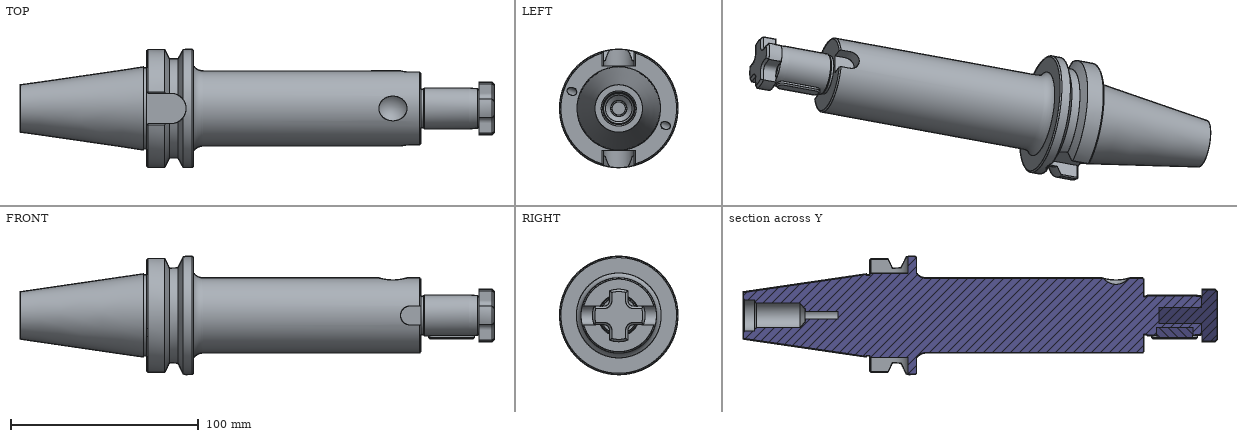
import cadquery as cq
import math

taper_length = 65.5
taper_ratio = 7 / 24
gauge_radius = 22.2
small_end_radius = gauge_radius - taper_length * taper_ratio / 2
relief_radius = 21.7
flange_front = 67.5
flange_radius = 31.5
flange_chamfer = 0.8
front_rim_end = 77.0
groove_radius = 26.5
groove_start = 79.5
groove_end = 84.0
rear_rim_start = 86.8
flange_rear = 92.5

keyway_width = 16.2
keyway_floor = 22.5
keyway_end = 88.3
keyway_chamfer = 0.8

coolant_circle_radius = 26.5
coolant_angle = 20
coolant_hole_radius = 2.0
coolant_hole_depth = 7.5
coolant_slant = 40

shank_radius = 20.07
shank_end = 213.3
shank_chamfer = 0.8
root_length = 5.0
root_height = 2.5
root_radius = (root_length**2 + root_height**2) / (2 * root_height)

dimple_x = 198.5
dimple_radius = 9.0
dimple_centre_height = 25.2
slot_width = 10.0
slot_start = 202.5
slot_floor = 12.4

spigot_radius = 11.0
undercut_radius = 10.3
undercut_end = 214.5
spigot_start = 215.3
lead_start = 239.0
lead_radius = 10.5
spigot_end = 244.0
spigot_end_chamfer = 0.8

mouth_radius = 9.3
pilot_radius = 8.5
pilot_depth = 6.0
thread_radius = 7.0
thread_depth = 30.3
channel_mouth_radius = 4.3
channel_radius = 3.5
channel_depth = 50.5
bore_cone_length = thread_radius - channel_mouth_radius
thread_chamfer = 1.0

key_width = 6.0
key_height = 6.0
key_start = 217.3
key_end = 241.8
key_chamfer = 0.8
key_outer = 12.5

overall_length = 252.5
head_radius = 14.0
arm_width = 9.8
arm_fillet = 3.0
head_chamfer = 1.3
screw_radius = 5.0
screw_length = 22.7


def revolve_about_x(profile):
    return profile.close().revolve(360, (0, 0, 0), (1, 0, 0))


def turned_body():
    root_end = flange_rear + root_length
    half_angle = math.asin(root_length / root_radius) / 2
    root_middle = (
        root_end - root_radius * math.sin(half_angle),
        shank_radius + root_radius * (1 - math.cos(half_angle)),
    )
    profile = (
        cq.Workplane("XZ")
        .lineTo(0, small_end_radius)
        .lineTo(taper_length, gauge_radius)
        .lineTo(taper_length, relief_radius)
        .lineTo(flange_front, relief_radius)
        .lineTo(flange_front, flange_radius - flange_chamfer)
        .lineTo(flange_front + flange_chamfer, flange_radius)
        .lineTo(front_rim_end, flange_radius)
        .lineTo(groove_start, groove_radius)
        .lineTo(groove_end, groove_radius)
        .lineTo(rear_rim_start, flange_radius)
        .lineTo(flange_rear - flange_chamfer, flange_radius)
        .lineTo(flange_rear, flange_radius - flange_chamfer)
        .lineTo(flange_rear, shank_radius + root_height)
        .threePointArc(root_middle, (root_end, shank_radius))
        .lineTo(shank_end - shank_chamfer, shank_radius)
        .lineTo(shank_end, shank_radius - shank_chamfer)
        .lineTo(shank_end, undercut_radius)
        .lineTo(undercut_end, undercut_radius)
        .lineTo(spigot_start, spigot_radius)
        .lineTo(lead_start, spigot_radius)
        .lineTo(spigot_end - spigot_end_chamfer, lead_radius)
        .lineTo(spigot_end, lead_radius - spigot_end_chamfer)
        .lineTo(spigot_end, 0)
    )
    return revolve_about_x(profile)


def bore():
    mouth_chamfer = mouth_radius - pilot_radius
    profile = (
        cq.Workplane("XZ")
        .lineTo(0, mouth_radius)
        .lineTo(mouth_chamfer, pilot_radius)
        .lineTo(pilot_depth, pilot_radius)
        .lineTo(pilot_depth, thread_radius + thread_chamfer)
        .lineTo(pilot_depth + thread_chamfer, thread_radius)
        .lineTo(thread_depth, thread_radius)
        .lineTo(thread_depth + bore_cone_length, channel_mouth_radius)
        .lineTo(thread_depth + bore_cone_length, channel_radius)
        .lineTo(channel_depth, channel_radius)
        .lineTo(channel_depth, 0)
    )
    return revolve_about_x(profile)


def flange_keyway():
    """Round-ended keyway on the +Z side, with its walls chamfered at the front face and the front rim."""
    half_width = keyway_width / 2
    mouth_half_width = half_width + keyway_chamfer
    mouth_end = flange_front + keyway_chamfer
    round_centre = keyway_end - half_width
    keyway = (
        cq.Workplane("XY", origin=(0, 0, keyway_floor))
        .moveTo(flange_front, -mouth_half_width)
        .lineTo(mouth_end, -half_width)
        .lineTo(round_centre, -half_width)
        .threePointArc((keyway_end, 0), (round_centre, half_width))
        .lineTo(mouth_end, half_width)
        .lineTo(flange_front, mouth_half_width)
        .close()
        .extrude(flange_radius)
    )
    return keyway.union(keyway_rim_flare())


def keyway_rim_flare():
    """Flare that chamfers the long edges of the keyway where it opens through the front rim."""
    half_width = keyway_width / 2
    flare_bottom = math.sqrt(flange_radius**2 - half_width**2) - keyway_chamfer
    flare_height = flange_radius - flare_bottom
    top_half_width = half_width + flare_height
    return (
        cq.Workplane("YZ", origin=(flange_front, 0, 0))
        .moveTo(-half_width, flare_bottom)
        .lineTo(half_width, flare_bottom)
        .lineTo(top_half_width, flange_radius)
        .lineTo(-top_half_width, flange_radius)
        .close()
        .extrude(groove_start - flange_front)
    )


def coolant_hole():
    """Blind hole that slants from the flange face towards the axis."""
    return (
        cq.Workplane("YZ")
        .circle(coolant_hole_radius)
        .extrude(coolant_hole_depth, both=True)
        .rotate((0, 0, 0), (0, 0, 1), -coolant_slant)
        .translate((flange_front, coolant_circle_radius, 0))
        .rotate((0, 0, 0), (1, 0, 0), coolant_angle)
    )


def cross_slot():
    """Round-ended slot on the +Y side, open at the end of the shank."""
    slot_radius = slot_width / 2
    round_centre = slot_start + slot_radius
    return (
        cq.Workplane("XZ", origin=(0, slot_floor, 0))
        .moveTo(shank_end, -slot_radius)
        .lineTo(round_centre, -slot_radius)
        .threePointArc((slot_start, 0), (round_centre, slot_radius))
        .lineTo(shank_end, slot_radius)
        .close()
        .extrude(-shank_radius)
    )


def dimple():
    return cq.Workplane("XY").sphere(dimple_radius).translate((dimple_x, 0, dimple_centre_height))


def make_key():
    length = key_end - key_start
    return (
        cq.Workplane("XY")
        .slot2D(length, key_width)
        .extrude(key_height)
        .faces("<Z")
        .chamfer(key_chamfer)
        .translate((key_start + length / 2, 0, -key_outer))
    )


def screw_stem():
    stem_start = spigot_end - screw_length
    return cq.Workplane("YZ", origin=(stem_start, 0, 0)).circle(screw_radius).extrude(screw_length)


def make_screw():
    head_length = overall_length - spigot_end
    plane = cq.Workplane("YZ", origin=(spigot_end, 0, 0))
    cross = (
        plane.rect(arm_width, 3 * head_radius).extrude(head_length)
        .union(plane.rect(3 * head_radius, arm_width).extrude(head_length))
        .edges("|X")
        .edges(cq.selectors.BoxSelector(
            (spigot_end, -arm_width, -arm_width), (overall_length, arm_width, arm_width)))
        .fillet(arm_fillet)
    )
    head = cross.intersect(plane.circle(head_radius).extrude(head_length))
    head = head.faces(">X").chamfer(head_chamfer)
    return head.union(screw_stem())


def make_arbor():
    body = turned_body().cut(bore()).cut(dimple())
    for half_turn in (0, 180):
        for feature in (flange_keyway(), coolant_hole(), cross_slot()):
            body = body.cut(feature.rotate((0, 0, 0), (1, 0, 0), half_turn))
    return body.cut(make_key()).cut(screw_stem())


arbor = make_arbor()
key = make_key()
screw = make_screw()
result = cq.Compound.makeCompound([arbor.val(), key.val(), screw.val()])